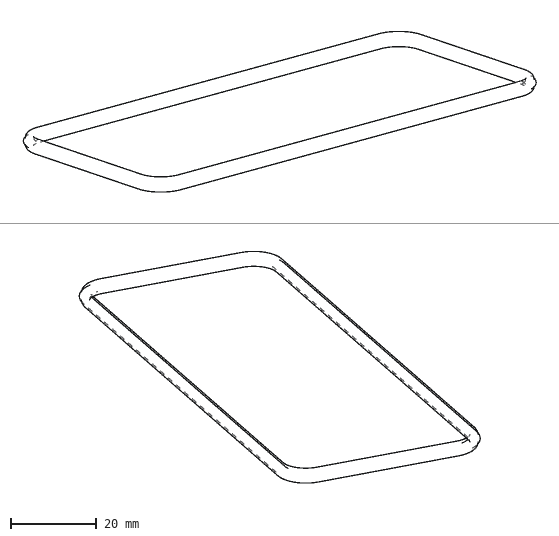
import cadquery as cq
import math

length = 123.3
width = 52.2
height = 3.7
corner_radius = 8.0

section_width = 3.0
lobe_radius = 1.0
bead_radius = 0.5
groove_radius = 0.5

lobe_height = height / 2 - lobe_radius
bead_offset = section_width / 2 - bead_radius

end_y = -(length - section_width) / 2
bend_radius = corner_radius - section_width / 2


def groove_centre():
    """Centre of the upper right groove arc, tangent to the lobe and to the bead."""
    from_lobe = lobe_radius + groove_radius
    from_bead = bead_radius + groove_radius
    spacing = math.hypot(bead_offset, lobe_height)
    along = (from_lobe**2 - from_bead**2 + spacing**2) / (2 * spacing)
    across = math.sqrt(from_lobe**2 - along**2)
    unit_x = bead_offset / spacing
    unit_z = -lobe_height / spacing
    return along * unit_x - across * unit_z, lobe_height + along * unit_z + across * unit_x


def between(start, end, distance):
    """Point at the given distance from start toward end."""
    share = distance / math.dist(start, end)
    return tuple(a + share * (b - a) for a, b in zip(start, end))


def make_section():
    """Closed outline of the section, centred on its local origin."""
    groove = groove_centre()
    lobe_end = between((0, lobe_height), groove, lobe_radius)
    bead_end = between((bead_offset, 0), groove, bead_radius)
    chord_middle = ((lobe_end[0] + bead_end[0]) / 2, (lobe_end[1] + bead_end[1]) / 2)
    groove_middle = between(groove, chord_middle, groove_radius)

    def flip(point, x_sign, z_sign):
        return x_sign * point[0], z_sign * point[1]

    outline = cq.Workplane("YZ", origin=(0, end_y, 0)).moveTo(*flip(lobe_end, -1, 1))
    for side in (1, -1):
        outline = (
            outline.threePointArc((0, side * height / 2), flip(lobe_end, side, side))
            .threePointArc(flip(groove_middle, side, side), flip(bead_end, side, side))
            .threePointArc((side * section_width / 2, 0), flip(bead_end, side, -side))
            .threePointArc(flip(groove_middle, side, -side), flip(lobe_end, side, -side))
        )
    return outline.close()


def make_path():
    """Rounded rectangle through the middle of the section, starting at the centre of one end."""
    half_x = (width - section_width) / 2
    half_y = -end_y
    straight_x = half_x - bend_radius
    straight_y = half_y - bend_radius
    path = cq.Workplane("XY").moveTo(0, end_y).lineTo(straight_x, -half_y)
    path = path.tangentArcPoint((half_x, -straight_y), relative=False).lineTo(half_x, straight_y)
    path = path.tangentArcPoint((straight_x, half_y), relative=False).lineTo(-straight_x, half_y)
    path = path.tangentArcPoint((-half_x, straight_y), relative=False).lineTo(-half_x, -straight_y)
    return path.tangentArcPoint((-straight_x, -half_y), relative=False).close()


result = make_section().sweep(make_path())